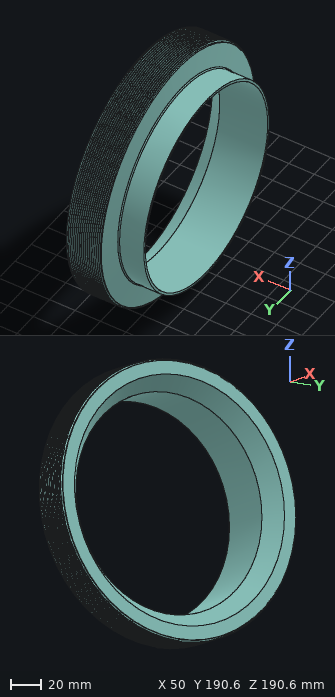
import cadquery as cq

total_length = 50.0
spigot_length = 19.0
spigot_radius = 77.0
root_length = 1.0
root_height = 0.8
rim_start = 22.5
thread_radius = 95.3
thread_depth = 1.1
core_radius = thread_radius - thread_depth

bore_radius = 75.1
bore_length = 37.7
flare_radius = 84.8

thread_pitch = 1.5
thread_turns = 17
ridge_base_width = 1.3
ridge_crest_width = 0.2
ridge_overlap = 0.2
thread_length = thread_turns * thread_pitch
thread_start = (rim_start + total_length - thread_length) / 2


def ring_body():
    """Revolve the ring section, X along the axis and Y as the radius."""
    section = (
        cq.Workplane("XY")
        .moveTo(0, bore_radius)
        .lineTo(0, spigot_radius)
        .lineTo(spigot_length, spigot_radius)
        .lineTo(spigot_length + root_length, spigot_radius + root_height)
        .lineTo(rim_start, core_radius)
        .lineTo(total_length, core_radius)
        .lineTo(total_length, flare_radius)
        .lineTo(bore_length, bore_radius)
        .close()
    )
    return section.revolve(360, (0, 0, 0), (1, 0, 0))


def thread_ridge():
    """Sweep the ridge about Z, then lay it along X with its start at -Z."""
    root_radius = core_radius - ridge_overlap
    half_base = ridge_base_width / 2
    half_crest = ridge_crest_width / 2
    helix = cq.Wire.makeHelix(thread_pitch, thread_length, root_radius)
    ridge = (
        cq.Workplane("XZ")
        .polyline([
            (root_radius, -half_base),
            (thread_radius, -half_crest),
            (thread_radius, half_crest),
            (root_radius, half_base),
        ])
        .close()
        .sweep(helix, isFrenet=True)
    )
    return ridge.rotate((0, 0, 0), (0, 1, 0), 90).translate((thread_start, 0, 0))


result = ring_body().union(thread_ridge())